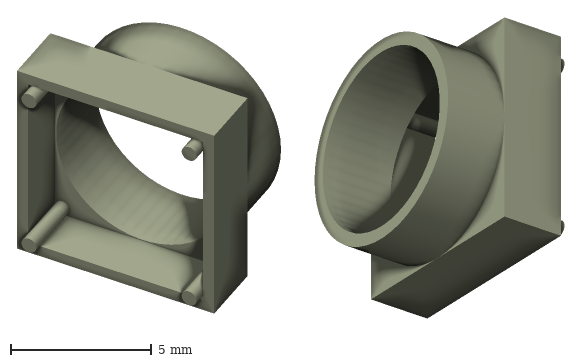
import cadquery as cq

width = 8.0
frame_depth = 2.5
collar_depth = 2.5
bore_diameter = 7.0
floor_thickness = 0.5
pin_diameter = 0.6
pin_spacing = 6.5
pin_projection = 0.5

recess_width = pin_spacing + pin_diameter
recess_depth = frame_depth - floor_thickness
pin_length = recess_depth + pin_projection


def front_plane(y):
    """Sketch plane at the given Y, with its normal pointing toward -Y."""
    return cq.Workplane("XZ", origin=(0, y, 0))


def make_housing():
    """Square frame and round collar, meeting at Y = 0, with a through bore."""
    frame = front_plane(0).rect(width, width).extrude(frame_depth)
    collar = front_plane(collar_depth).circle(width / 2).extrude(collar_depth)
    bore = front_plane(collar_depth).circle(bore_diameter / 2).extrude(collar_depth + frame_depth)
    recess = front_plane(-floor_thickness).rect(recess_width, recess_width).extrude(recess_depth)
    return frame.union(collar).cut(bore).cut(recess)


def make_pin(x, z):
    """Round pin standing on the recess floor and pointing toward -Y."""
    return front_plane(-floor_thickness).center(x, z).circle(pin_diameter / 2).extrude(pin_length)


housing = make_housing()

pins = []
for x_side in (-1, 1):
    for z_side in (-1, 1):
        pin = make_pin(x_side * pin_spacing / 2, z_side * pin_spacing / 2)
        pins.append(pin.val())

result = cq.Compound.makeCompound([housing.val(), *pins])